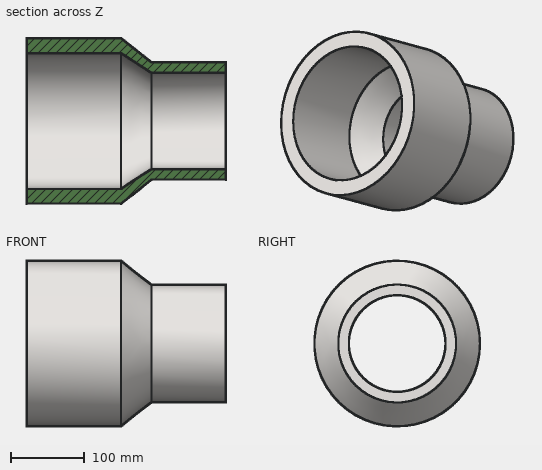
import cadquery as cq

total_length = 270.0
large_length = 128.0
small_length = 101.0

large_diameter = 225.0
large_wall = 20.5
small_diameter = 160.0
small_wall = 14.6

cone_start = large_length
cone_end = total_length - small_length

large_radius = large_diameter / 2
small_radius = small_diameter / 2


def stepped_cone(radius_at_large_end, radius_at_small_end):
    """Solid of revolution about X: cylinder, cone, smaller cylinder."""
    profile = (
        cq.Workplane("XY")
        .moveTo(0, 0)
        .lineTo(0, radius_at_large_end)
        .lineTo(cone_start, radius_at_large_end)
        .lineTo(cone_end, radius_at_small_end)
        .lineTo(total_length, radius_at_small_end)
        .lineTo(total_length, 0)
        .close()
    )
    return profile.revolve(360, (0, 0, 0), (1, 0, 0))


outer_body = stepped_cone(large_radius, small_radius)
bore = stepped_cone(large_radius - large_wall, small_radius - small_wall)

result = outer_body.cut(bore)